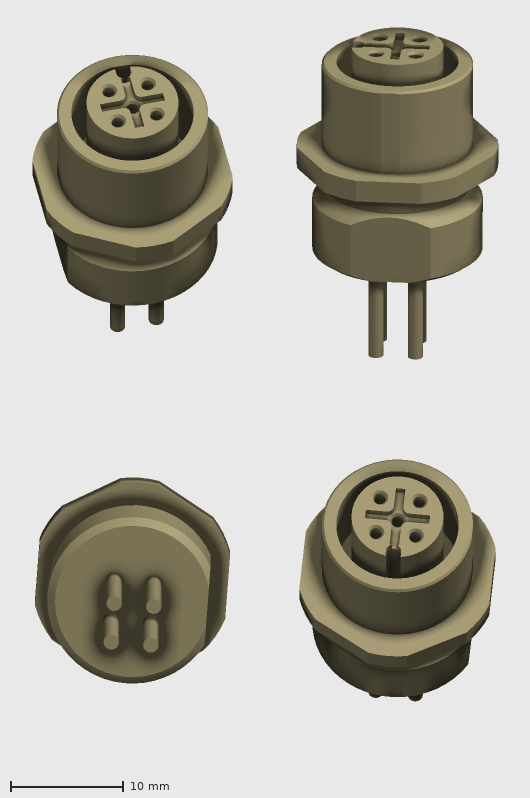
import cadquery as cq
import math

wire_length = 9.35
collar_height = 6.55
neck_height = 2.0
flange_thickness = 2.0
sleeve_height = 8.0
insert_projection = 1.5

collar_bottom = wire_length
collar_top = collar_bottom + collar_height
flange_bottom = collar_top + neck_height
flange_top = flange_bottom + flange_thickness
sleeve_top = flange_top + sleeve_height
insert_top = sleeve_top + insert_projection

collar_radius = 7.6
neck_radius = 6.45
collar_top_chamfer = collar_radius - neck_radius
collar_bottom_chamfer_width = 0.7
collar_bottom_chamfer_height = 0.5
sleeve_radius = 6.75
sleeve_rim_chamfer = 0.2
cavity_radius = 5.45
key_flat_distance = 6.7
key_flat_angle = 210

flange_across_flats = 17.0
flange_corner_radius = 8.98

insert_radius = 4.1
contact_circle_radius = 2.5
first_contact_angle = 75
contact_count = 4
contact_hole_diameter = 1.1
contact_mouth_diameter = 1.52
contact_chamfer = (contact_mouth_diameter - contact_hole_diameter) / 2
contact_hole_depth = 5.0
wire_diameter = 1.35

groove_angle = 30
groove_width = 0.85
groove_length = 5.75
groove_depth = 0.7
groove_corner_radius = 0.6
keyway_angle = groove_angle + 90
keyway_radius = 0.68
keyway_center_distance = 3.52


def cylinder(radius, bottom, top):
    """Upright cylinder on the Z axis between two heights."""
    return cq.Workplane("XY").workplane(offset=bottom).circle(radius).extrude(top - bottom)


def polar(radius, angle):
    """XY point at a radius and an angle in degrees from +X."""
    return (radius * math.cos(math.radians(angle)), radius * math.sin(math.radians(angle)))


contact_points = [
    polar(contact_circle_radius, first_contact_angle + i * 360 / contact_count)
    for i in range(contact_count)
]


def make_flange():
    """Hexagon with two flats facing +Y and -Y, its corners turned to a circle."""
    across_corners = flange_across_flats / math.cos(math.radians(30))
    hexagon = (
        cq.Workplane("XY")
        .workplane(offset=flange_bottom)
        .polygon(6, across_corners)
        .extrude(flange_thickness)
    )
    return hexagon.intersect(cylinder(flange_corner_radius, flange_bottom, flange_top))


def cut_key_flat(body):
    """Keep the side of the body that lies inside the plane of the key flat."""
    size = 4 * collar_radius
    keeper = (
        cq.Workplane("XY")
        .box(size, size, insert_top, centered=(False, True, False))
        .translate((-key_flat_distance, 0, 0))
        .rotate((0, 0, 0), (0, 0, 1), key_flat_angle - 180)
    )
    return body.intersect(keeper)


def make_housing():
    """Turned collar, neck and sleeve with the key flat, joined to the flange."""
    profile = [
        (0, collar_bottom),
        (collar_radius - collar_bottom_chamfer_width, collar_bottom),
        (collar_radius, collar_bottom + collar_bottom_chamfer_height),
        (collar_radius, collar_top - collar_top_chamfer),
        (neck_radius, collar_top),
        (neck_radius, flange_top),
        (sleeve_radius, flange_top),
        (sleeve_radius, sleeve_top - sleeve_rim_chamfer),
        (sleeve_radius - sleeve_rim_chamfer, sleeve_top),
        (0, sleeve_top),
    ]
    turned = cq.Workplane("XZ").polyline(profile).close().revolve(360, (0, 0), (0, 1))
    cavity = cylinder(cavity_radius, flange_top, sleeve_top)
    return cut_key_flat(turned).union(make_flange()).cut(cavity)


def make_groove():
    """Two crossing bars with rounded inner corners, sunk below the insert face."""
    bottom = insert_top - groove_depth
    base = cq.Workplane("XY").workplane(offset=bottom)
    bar = base.rect(groove_length, groove_width).extrude(groove_depth)
    cross = bar.union(bar.rotate((0, 0, 0), (0, 0, 1), 90))
    inner_corners = cq.selectors.BoxSelector(
        (-groove_width, -groove_width, bottom),
        (groove_width, groove_width, insert_top),
    )
    cross = cross.edges("|Z").edges(inner_corners).fillet(groove_corner_radius)
    return cross.rotate((0, 0, 0), (0, 0, 1), groove_angle)


def make_keyway():
    """Round-bottomed slot, open to the rim, over the free height of the insert."""
    height = insert_top - flange_top
    base = cq.Workplane("XY").workplane(offset=flange_top)
    root = base.center(keyway_center_distance, 0).circle(keyway_radius).extrude(height)
    mouth = (
        base.center(keyway_center_distance + insert_radius / 2, 0)
        .rect(insert_radius, 2 * keyway_radius)
        .extrude(height)
    )
    return root.union(mouth).rotate((0, 0, 0), (0, 0, 1), keyway_angle)


def make_socket(point, face_height):
    """Contact hole with a chamfered mouth, as a solid to be cut away."""
    hole = cylinder(contact_hole_diameter / 2, insert_top - contact_hole_depth, face_height)
    mouth = cq.Workplane(
        cq.Solid.makeCone(
            contact_hole_diameter / 2,
            contact_mouth_diameter / 2,
            contact_chamfer,
            pnt=cq.Vector(0, 0, face_height - contact_chamfer),
        )
    )
    return hole.union(mouth).translate((point[0], point[1], 0))


def make_insert():
    """Contact carrier with groove, keyway, a ring of sockets and a center socket in the groove floor."""
    insert = cylinder(insert_radius, flange_top, insert_top)
    insert = insert.cut(make_groove()).cut(make_keyway())
    for point in contact_points:
        insert = insert.cut(make_socket(point, insert_top))
    return insert.cut(make_socket((0, 0), insert_top - groove_depth))


def make_wires():
    """Round wires below the collar, in line with the ring of sockets."""
    return (
        cq.Workplane("XY")
        .pushPoints(contact_points)
        .circle(wire_diameter / 2)
        .extrude(collar_bottom)
    )


result = make_housing().union(make_insert()).union(make_wires())